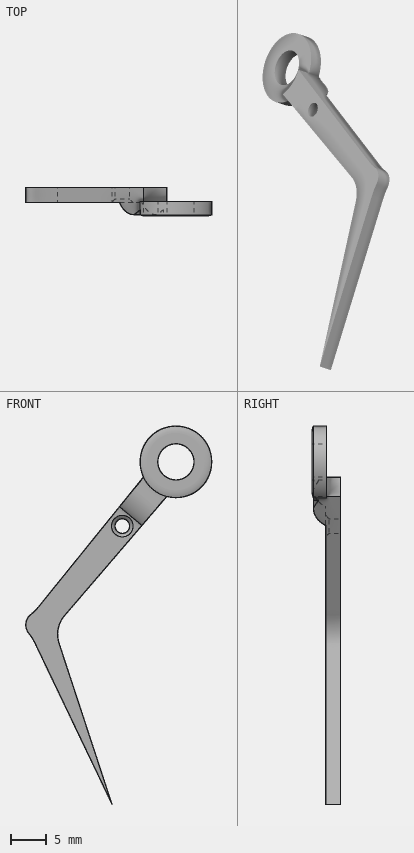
import cadquery as cq
import math


total_height = 4.0
arm_thickness = 2.1
ring_back_height = 1.95
neck_height = 3.8

ring_radius = 5.0
ring_bore_diameter = 5.0
ring_face_radius = 4.0
ring_rim_drop = 0.2

arm_angle = 50.15
arm_end_half_width = 2.12

outer_elbow = (-20.97, -22.45)
inner_elbow = (-16.96, -23.12)
leg_tip = (-8.87, -47.74)
inner_elbow_radius = 4.0
elbow_knob_center = (-19.09, -22.70)
elbow_knob_radius = 1.83
knob_arm_blend_radius = 7.0
knob_leg_blend_radius = 7.0

bump_start_station = -9.83
bump_crest_station = -6.65
notch_end_station = -5.2
notch_depth = 0.7
neck_half_width = 2.05
neck_end_station = -3.5

hole_station = -11.65
hole_diameter = 2.0
countersink_diameter = 3.0
countersink_angle = 90.0


def front_plane(height):
    """Plane at a height above the back; local X, Y are the part's X, Z, normal toward the front."""
    return cq.Workplane(cq.Plane(origin=(0, -height, 0), xDir=(1, 0, 0), normal=(0, -1, 0)))


def arm_point(station, offset):
    """(X, Z) of a point given along and across the arm axis."""
    angle = math.radians(arm_angle)
    x = station * math.cos(angle) - offset * math.sin(angle)
    z = station * math.sin(angle) + offset * math.cos(angle)
    return (x, z)


def knob_crossing(line_end):
    """(X, Z) where the knob circle crosses the edge from the outer elbow to line_end."""
    length = math.dist(outer_elbow, line_end)
    dx = (line_end[0] - outer_elbow[0]) / length
    dz = (line_end[1] - outer_elbow[1]) / length
    to_center_x = elbow_knob_center[0] - outer_elbow[0]
    to_center_z = elbow_knob_center[1] - outer_elbow[1]
    along = to_center_x * dx + to_center_z * dz
    across = to_center_x * dz - to_center_z * dx
    reach = along + math.sqrt(elbow_knob_radius**2 - across**2)
    return (outer_elbow[0] + reach * dx, outer_elbow[1] + reach * dz)


def make_blank(height):
    """Tapered arm, hollowed to the ring's radius at its end, rounded elbow and pointed leg."""
    arm_end_station = -math.sqrt(ring_radius**2 - arm_end_half_width**2)
    arm_end_left = arm_point(arm_end_station, arm_end_half_width)
    arm_end_right = arm_point(arm_end_station, -arm_end_half_width)
    knob_top = knob_crossing(arm_end_left)
    knob_bottom = knob_crossing(leg_tip)
    knob_side = (elbow_knob_center[0] - elbow_knob_radius, elbow_knob_center[1])
    blank = (
        front_plane(0)
        .moveTo(*arm_end_left)
        .lineTo(*knob_top)
        .threePointArc(knob_side, knob_bottom)
        .lineTo(*leg_tip)
        .lineTo(*inner_elbow)
        .lineTo(*arm_end_right)
        .threePointArc(arm_point(-ring_radius, 0), arm_end_left)
        .close()
        .extrude(height)
    )
    elbow_fillets = [
        (knob_top, knob_arm_blend_radius),
        (knob_bottom, knob_leg_blend_radius),
        (inner_elbow, inner_elbow_radius),
    ]
    for (x, z), radius in elbow_fillets:
        corner = cq.selectors.NearestToPointSelector((x, -height / 2, z))
        blank = blank.edges("|Y").edges(corner).fillet(radius)
    return blank


def along_arm_plane():
    """Plane through the arm axis; local X is the station and local Y is the height."""
    angle = math.radians(arm_angle)
    return cq.Workplane(
        cq.Plane(
            origin=(0, 0, 0),
            xDir=(math.cos(angle), 0, math.sin(angle)),
            normal=(math.sin(angle), 0, -math.cos(angle)),
        )
    )


def make_bump():
    """Rise at the end of the arm: an arc up to a crest, then a shallow notch before the ring."""
    length = bump_crest_station - bump_start_station
    rise = neck_height - arm_thickness
    radius = (length**2 + rise**2) / (2 * rise)
    half_sweep = math.asin(length / radius) / 2
    arc_middle = (
        bump_crest_station - radius * math.sin(half_sweep),
        neck_height - radius * (1 - math.cos(half_sweep)),
    )
    profile = (
        along_arm_plane()
        .moveTo(bump_start_station, 0)
        .lineTo(bump_start_station, arm_thickness)
        .threePointArc(arc_middle, (bump_crest_station, neck_height))
        .lineTo(notch_end_station, neck_height - notch_depth)
        .lineTo(notch_end_station, neck_height)
        .lineTo(neck_end_station, neck_height)
        .lineTo(neck_end_station, 0)
        .close()
        .extrude(2 * arm_end_half_width, both=True)
    )
    return make_blank(neck_height).intersect(profile)


def make_neck():
    """Straight-sided plate from the crest of the bump into the ring."""
    return (
        along_arm_plane()
        .moveTo(bump_crest_station, arm_thickness)
        .lineTo(bump_crest_station, neck_height)
        .lineTo(neck_end_station, neck_height)
        .lineTo(neck_end_station, arm_thickness)
        .close()
        .extrude(neck_half_width, both=True)
    )


def make_ring():
    """Disc of the ring with a rounded front rim that runs smoothly into the flat face."""
    rim_width = ring_radius - ring_face_radius
    rim_arc_radius = (rim_width**2 + ring_rim_drop**2) / (2 * ring_rim_drop)
    half_sweep = math.asin(rim_width / rim_arc_radius) / 2
    rim_middle_radius = ring_face_radius + rim_arc_radius * math.sin(half_sweep)
    rim_middle_height = total_height - rim_arc_radius * (1 - math.cos(half_sweep))
    return (
        cq.Workplane("XY")
        .moveTo(0, -ring_back_height)
        .lineTo(ring_radius, -ring_back_height)
        .lineTo(ring_radius, ring_rim_drop - total_height)
        .threePointArc((rim_middle_radius, -rim_middle_height), (ring_face_radius, -total_height))
        .lineTo(0, -total_height)
        .close()
        .revolve(360, (0, 0, 0), (0, 1, 0))
    )


def make_ring_bore():
    return front_plane(0).circle(ring_bore_diameter / 2).extrude(total_height)


def make_arm_hole():
    """Through hole with a countersink that opens on the front face of the arm."""
    center = arm_point(hole_station, 0)
    half_angle = countersink_angle / 2
    widening = (countersink_diameter - hole_diameter) / 2
    countersink_depth = widening / math.tan(math.radians(half_angle))
    hole = front_plane(0).center(*center).circle(hole_diameter / 2).extrude(arm_thickness)
    countersink = (
        front_plane(arm_thickness)
        .center(*center)
        .circle(countersink_diameter / 2)
        .extrude(-countersink_depth, taper=half_angle)
    )
    return hole.union(countersink)


arm = make_blank(arm_thickness).union(make_bump()).cut(make_arm_hole())
result = arm.union(make_neck()).union(make_ring()).cut(make_ring_bore())